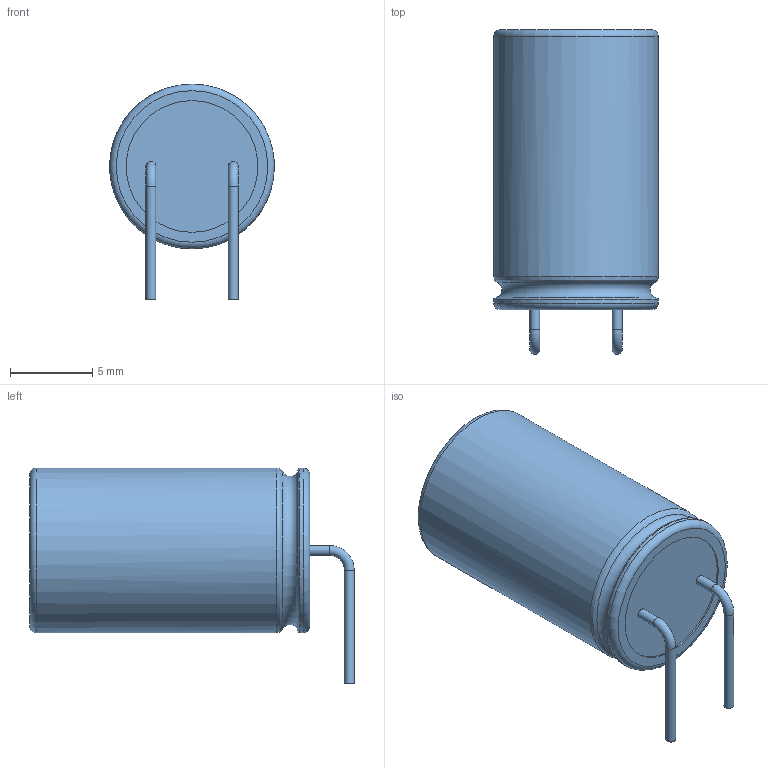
import cadquery as cq


can_diameter = 10.0
can_length = 17.0
can_radius = can_diameter / 2
end_fillet = 0.4

groove_radius = 0.5
groove_center = 1.2
groove_inner_fillet = 0.4
groove_outer_fillet = 0.1

seal_diameter = 8.0
seal_depth = 0.1

lead_diameter = 0.6
lead_pitch = 5.0
lead_bend_radius = 1.2
lead_straight = 1.2
lead_drop = 8.1


def make_can():
    """Revolved can with its crimped groove and rounded edges."""
    groove_start = groove_center - groove_radius
    groove_end = groove_center + groove_radius
    can = (
        cq.Workplane("XY")
        .lineTo(can_radius, 0)
        .lineTo(can_radius, groove_start)
        .threePointArc((can_radius - groove_radius, groove_center), (can_radius, groove_end))
        .lineTo(can_radius, can_length)
        .lineTo(0, can_length)
        .close()
        .revolve(360, (0, 0, 0), (0, 1, 0))
    )
    can = round_rim(can, groove_end, groove_inner_fillet)
    can = round_rim(can, groove_start, groove_outer_fillet)
    can = round_rim(can, can_length, end_fillet)
    return round_rim(can, 0, end_fillet)


def round_rim(body, y, radius):
    """Fillet the circular edge that lies around the can axis at height y."""
    return body.edges(cq.NearestToPointSelector((0, y, 0))).fillet(radius)


def make_seal_recess():
    """Disc to be cut from the sealed end."""
    return cq.Workplane("XZ").circle(seal_diameter / 2).extrude(-seal_depth)


def make_lead(x):
    """Bent round lead, starting on the floor of the seal recess."""
    bend_start = -lead_straight
    drop_y = bend_start - lead_bend_radius
    path = (
        cq.Workplane("YZ", origin=(x, 0, 0))
        .moveTo(seal_depth, 0)
        .lineTo(bend_start, 0)
        .tangentArcPoint((drop_y, -lead_bend_radius), relative=False)
        .lineTo(drop_y, -lead_drop)
    )
    section = cq.Workplane("XZ", origin=(x, seal_depth, 0)).circle(lead_diameter / 2)
    return section.sweep(path)


result = make_can().cut(make_seal_recess())
for lead_x in (-lead_pitch / 2, lead_pitch / 2):
    result = result.union(make_lead(lead_x))